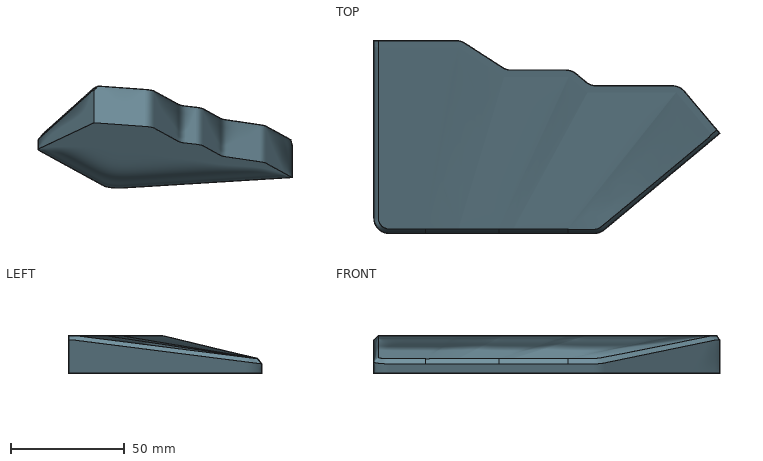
import cadquery as cq
import math

width = 152.3
depth = 84.97
height = 16.6
front_height = 6.2

back_step_y = [depth, 72.0, 65.1]

front_right_x = 99.5
right_tip_y = 44.1
slant_angle = math.atan2(right_tip_y, width - front_right_x)

ledge = 3.1
corner_radius = 7.0
edge_chamfer = 2.0

ledge_corner_x = [37.4, 57.5, 86.0, 94.2, 133.2]
ledge_line = [
    (0, back_step_y[0] - ledge),
    (ledge_corner_x[0], back_step_y[0] - ledge),
    (ledge_corner_x[1], back_step_y[1] - ledge),
    (ledge_corner_x[2], back_step_y[1] - ledge),
    (ledge_corner_x[3], back_step_y[2] - ledge),
    (ledge_corner_x[4], back_step_y[2] - ledge),
    (width - ledge * math.cos(slant_angle), right_tip_y - ledge * math.sin(slant_angle)),
]

facet_break_x = [22.9, 37.4, 55.1, 61.6, 85.4]


def front_foot(chamfer_x, ledge_point):
    """Place on the front edge of a facet line that crosses the chamfer line at chamfer_x."""
    ledge_x, ledge_y = ledge_point
    run = (ledge_x - chamfer_x) / (ledge_y - edge_chamfer)
    return chamfer_x - run * edge_chamfer


inner_foot_x = [front_foot(x, point) for x, point in zip(facet_break_x, ledge_line[1:-1])]
front_foot_x = [0, *inner_foot_x, front_right_x]


def back_corner(before, corner, after):
    """Sharp corner of the back side: the ledge corner moved out by the ledge width."""
    angle_in = math.atan2(corner[1] - before[1], corner[0] - before[0])
    angle_out = math.atan2(after[1] - corner[1], after[0] - corner[0])
    outward = (angle_in + angle_out + math.pi) / 2
    reach = ledge / math.cos((angle_out - angle_in) / 2)
    return (corner[0] + reach * math.cos(outward), corner[1] + reach * math.sin(outward))


def round_corners(body, corners):
    """Round the upright edges that stand on the given plan corners."""
    for x, y in corners:
        edge = cq.selectors.NearestToPointSelector((x, y, height / 2))
        body = body.edges("|Z").edges(edge).fillet(corner_radius)
    return body


def make_blank():
    """Full-height plate with every corner rounded except the two back tips."""
    back_corners = [
        back_corner(*corner_and_neighbours)
        for corner_and_neighbours in zip(ledge_line, ledge_line[1:], ledge_line[2:])
    ]
    front_corners = [(0, 0), (front_right_x, 0)]
    outline = [(0, 0), (0, depth), *back_corners, (width, right_tip_y), (front_right_x, 0)]
    plate = cq.Workplane("XY").polyline(outline).close().extrude(height)
    return round_corners(plate, back_corners + front_corners)


def make_wedge():
    """Space above the sloped top, whose facets are ruled from the ledge to the front edge."""
    upper = [cq.Vector(x, y, height) for x, y in ledge_line]
    lower = [cq.Vector(x, 0, front_height) for x in front_foot_x]
    left_top = cq.Vector(0, 0, height)
    right_top = cq.Vector(front_right_x, 0, height)

    flat_sides = [
        [*upper, right_top, left_top],
        [*lower, right_top, left_top],
        [upper[0], lower[0], left_top],
        [upper[-1], lower[-1], right_top],
    ]
    faces = [cq.Face.makeFromWires(cq.Wire.makePolygon(points, close=True)) for points in flat_sides]
    for i in range(len(upper) - 1):
        ledge_edge = cq.Edge.makeLine(upper[i], upper[i + 1])
        front_edge = cq.Edge.makeLine(lower[i], lower[i + 1])
        faces.append(cq.Face.makeRuledSurface(ledge_edge, front_edge))
    return cq.Workplane(cq.Solid.makeSolid(cq.Shell.makeShell(faces)).fix())


def chamfer_strip(edge_height, slope):
    """Corner strip to remove around a plane top that starts at edge_height and rises backwards."""
    back_y = 2 * depth
    back_x = front_right_x + back_y / math.tan(slant_angle)
    plan = [(0, 0), (0, back_y), (back_x, back_y), (front_right_x, 0)]
    profile = [(0, 0), (back_y, 0), (back_y, edge_height + slope * back_y), (0, edge_height)]
    top_height = edge_height + slope * back_y
    prism = cq.Workplane("XY").polyline(plan).close().extrude(top_height)
    prism = round_corners(prism, [(0, 0), (front_right_x, 0)])
    body = prism.intersect(cq.Workplane("YZ").polyline(profile).close().extrude(back_x))
    return body.cut(body.faces(">Z").edges().chamfer(edge_chamfer))


def chamfer_edges(body):
    """Chamfer the left, front and right edges of the top, facet by facet, then the ledge ends."""
    zone_ends = [*facet_break_x, width]
    start = 0
    previous_slope = 0
    for foot, end, (_, run) in zip(front_foot_x, zone_ends, ledge_line[1:]):
        slope = (height - front_height) / run
        if slope > previous_slope:
            start = foot
        zone = cq.Workplane("XY").box(end - start, depth, height, centered=False)
        strip = chamfer_strip(front_height, slope).intersect(zone.translate((start, 0, 0)))
        body = body.cut(strip, clean=False)
        start = end
        previous_slope = slope
    return body.cut(chamfer_strip(height, 0), clean=False)


result = chamfer_edges(make_blank().cut(make_wedge()))